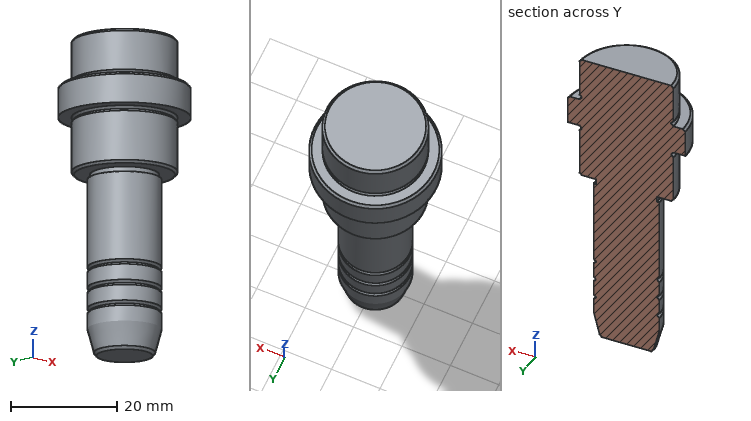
import cadquery as cq

length = 61.0

body_radius = 10.0
flange_radius = 12.5
stem_radius = 7.0

edge = 0.5
groove_width = 2 * edge

head_height = 8.0
flange_height = 6.0
body_height = 10.0
stem_land_height = 16.95
ring_height = 3.0
ring_count = 3
tip_taper_height = 4.5
tip_radius = 5.8

head_bottom = length - head_height
flange_top = head_bottom - groove_width
flange_bottom = flange_top - flange_height
body_top = flange_bottom - groove_width
body_bottom = body_top - body_height
stem_top = body_bottom - groove_width
land_bottom = stem_top - stem_land_height


def v_groove(radius, upper):
    """Bottom and lower edge of a V-groove whose upper edge is at the given height."""
    return [(radius - edge, upper - edge), (radius, upper - groove_width)]


profile = [(0, length), (body_radius - edge, length), (body_radius, length - edge)]

profile += [(body_radius, head_bottom)]
profile += v_groove(body_radius, head_bottom)

profile += [(flange_radius - edge, flange_top), (flange_radius, flange_top - edge)]
profile += [(flange_radius, flange_bottom)]

profile += [(body_radius, flange_bottom)]
profile += v_groove(body_radius, flange_bottom)
profile += [(body_radius, body_bottom + edge), (body_radius - edge, body_bottom)]

profile += [(stem_radius - edge, body_bottom), (stem_radius - edge, stem_top)]

profile += [(stem_radius, stem_top), (stem_radius, land_bottom)]
ring_bottom = land_bottom
for ring in range(ring_count):
    profile += v_groove(stem_radius, ring_bottom)
    ring_bottom -= groove_width + ring_height
    profile += [(stem_radius, ring_bottom)]

profile += [(tip_radius, ring_bottom - tip_taper_height), (tip_radius - edge, 0), (0, 0)]

result = cq.Workplane("XZ").polyline(profile).close().revolve(360, (0, 0, 0), (0, 1, 0))